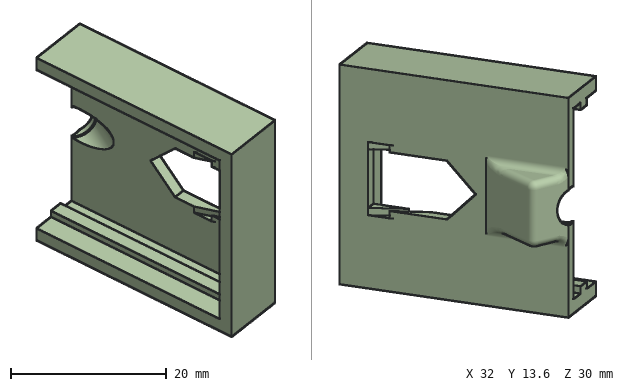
import cadquery as cq
import math

length = 32.0
depth = 9.0
height = 30.0
wall = 2.0
plate_thickness = 1.75
plate_inner_y = depth - plate_thickness

rail_height = 1.0
rail_width = 2.0
rail_start_y = 3.0

window_tip_x = 13.0
window_end_x = 28.0
window_half_height = 4.0

slot_side = 1.0
slot_inner_x = (20.1, 23.0)
slot_outer_x = (25.0, window_end_x)

wedge_angle = 30.0
wedge_long_leg = 10.0
wedge_width = 9.0
wedge_fillet = 1.0
wedge_root = 1.28

mouth_radius = 2.5
mouth_depth = 1.02
bore_radius = 2.7
bore_length = 12.8
bore_axis_drop = 0.75

slope_cos = math.cos(math.radians(wedge_angle))
slope_sin = math.sin(math.radians(wedge_angle))


def box(x_range, y_range, z_range):
    """Box spanning the given coordinate ranges."""
    low, high = zip(x_range, y_range, z_range)
    sizes = [b - a for a, b in zip(low, high)]
    return cq.Workplane("XY").box(*sizes, centered=False).translate(low)


def prism_along_z(points, width):
    """XY outline extruded symmetrically about Z = 0."""
    return cq.Workplane("XY").polyline(points).close().extrude(width / 2, both=True)


def make_tray():
    half = height / 2
    inner_half = half - wall
    tray = box((0, length), (0, depth), (-half, half))
    tray = tray.cut(box((0, length - wall), (0, plate_inner_y), (-inner_half, inner_half)))
    rail_y = (rail_start_y, rail_start_y + rail_width)
    rail_tip = inner_half - rail_height
    for z_range in ((-inner_half, -rail_tip), (rail_tip, inner_half)):
        tray = tray.union(box((0, length - wall), rail_y, z_range))
    return tray


def make_wedge():
    base = wedge_long_leg / slope_cos
    apex_x = base - wedge_long_leg * slope_cos
    apex_y = depth + wedge_long_leg * slope_sin
    half = wedge_width / 2
    root_half = half + 3 * wedge_fillet
    root_y = depth - wedge_root
    root_left_x = -wedge_root * slope_sin / slope_cos
    root_right_x = base + wedge_root * slope_cos / slope_sin

    triangle = prism_along_z([(root_left_x, root_y), (root_right_x, root_y), (apex_x, apex_y)], 2 * root_half)

    bend = wedge_fillet * math.sqrt(0.5)
    flare_z = half + wedge_fillet
    flare_y = depth + wedge_fillet
    section = (
        cq.Workplane("YZ", origin=(root_left_x, 0, 0))
        .moveTo(root_y, -root_half)
        .lineTo(depth, -root_half)
        .lineTo(depth, -flare_z)
        .threePointArc((flare_y - bend, bend - flare_z), (flare_y, -half))
        .lineTo(apex_y, -half)
        .lineTo(apex_y, half)
        .lineTo(flare_y, half)
        .threePointArc((flare_y - bend, flare_z - bend), (depth, flare_z))
        .lineTo(depth, root_half)
        .lineTo(root_y, root_half)
        .close()
        .extrude(root_right_x - root_left_x)
    )
    wedge = triangle.intersect(section)

    margin = 0.03
    rim = cq.selectors.BoxSelector(
        (root_left_x, depth - margin, margin - root_half),
        (root_right_x, apex_y + margin, root_half - margin),
    )
    wedge = wedge.edges(rim).edges("not |X").fillet(wedge_fillet)
    return wedge.intersect(box((0, length), (root_y, apex_y), (-root_half, root_half)))


def make_window():
    shoulder_x = window_tip_x + window_half_height
    outline = [
        (window_tip_x, 0),
        (shoulder_x, window_half_height),
        (window_end_x, window_half_height),
        (window_end_x, -window_half_height),
        (shoulder_x, -window_half_height),
    ]
    window = cq.Workplane("XZ", origin=(0, depth, 0)).polyline(outline).close().extrude(plate_thickness)
    slot_outline = [
        (slot_inner_x[0], plate_inner_y),
        (slot_inner_x[1], plate_inner_y),
        (slot_outer_x[1], depth),
        (slot_outer_x[0], depth),
    ]
    return window.union(prism_along_z(slot_outline, 2 * (window_half_height + slot_side)))


def make_bore():
    origin = (-bore_axis_drop * slope_sin, depth - bore_axis_drop * slope_cos, 0)
    plane = cq.Plane(origin=origin, xDir=(0, 0, 1), normal=(slope_cos, -slope_sin, 0))
    mouth = cq.Workplane(plane).circle(mouth_radius).extrude(mouth_depth, both=True)
    bore = cq.Workplane(plane).workplane(offset=mouth_depth).circle(bore_radius).extrude(bore_length)
    return mouth.union(bore)


result = make_tray().union(make_wedge()).cut(make_window()).cut(make_bore())